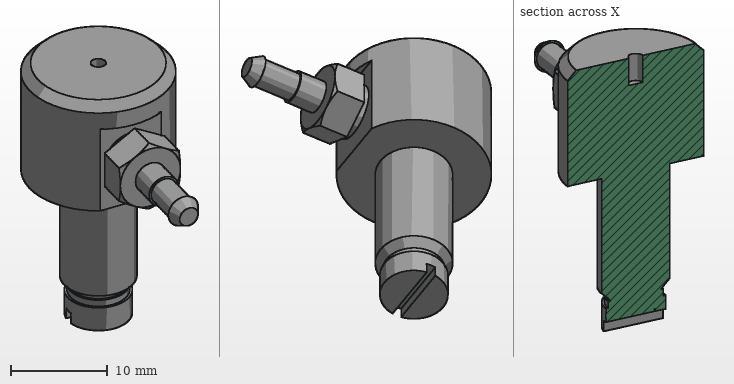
import cadquery as cq
import math

total_height = 30.6
head_diameter = 16.0
head_radius = head_diameter / 2
head_height = 13.0
head_bottom = total_height - head_height
edge_chamfer = 1.0
stem_radius = head_radius / 2
stem_bottom = 3.58
neck_radius = 3.25
tip_radius = 3.52
tip_height = 2.8

slot_width = 1.0
slot_depth = 1.22
vent_diameter = 1.6
vent_depth = 3.05
flat_x = 7.15
shoulder_depth = 3.0
flat_height = total_height - shoulder_depth

fitting_depth = 7.5
fitting_z = total_height - fitting_depth
collar_radius = 3.0
nut_start = head_radius
nut_end = 11.5
nut_across_flats = 7.0
nut_chamfer_angle = math.radians(30)
spigot_radius = 1.75
spigot_end = 14.5
tube_radius = 1.5
barb_start = 18.75
barb_radius = spigot_radius
barb_end_radius = 1.07
overall_length = 28.0
fitting_end = overall_length - head_radius


def make_body():
    """Head, stem, neck and tip as one revolved profile."""
    profile = [
        (0, 0),
        (tip_radius, 0),
        (tip_radius, tip_height),
        (neck_radius, tip_height),
        (neck_radius, stem_bottom),
        (stem_radius - edge_chamfer, stem_bottom),
        (stem_radius, stem_bottom + edge_chamfer),
        (stem_radius, head_bottom),
        (head_radius, head_bottom),
        (head_radius, total_height - edge_chamfer),
        (head_radius - edge_chamfer, total_height),
        (0, total_height),
    ]
    return cq.Workplane("XZ").polyline(profile).close().revolve(360, (0, 0, 0), (0, 1, 0))


def cut_flat(body):
    """Remove the +X side of the head below the flat's shoulder."""
    waste = cq.Workplane("XY").box(
        head_radius, head_diameter, flat_height - head_bottom, centered=(False, True, False)
    )
    return body.cut(waste.translate((flat_x, 0, head_bottom)))


def cut_slot(body):
    """Screwdriver slot across the tip, along Y."""
    slot = cq.Workplane("XY").box(
        slot_width, head_diameter, slot_depth, centered=(True, True, False)
    )
    return body.cut(slot)


def cut_vent(body):
    """Blind hole in the top face."""
    vent = cq.Workplane("XY", origin=(0, 0, total_height)).circle(vent_diameter / 2).extrude(-vent_depth)
    return body.cut(vent)


def revolve_about_fitting_axis(profile):
    """Revolve (x, radius) points about the fitting axis."""
    return (
        cq.Workplane("XZ", origin=(0, 0, fitting_z))
        .polyline(profile)
        .close()
        .revolve(360, (0, 0, 0), (1, 0, 0))
    )


def make_nut():
    """Hexagon with corners up and down, its outer corners trimmed by a cone."""
    face_radius = nut_across_flats / 2
    corner_radius = face_radius / math.cos(math.pi / 6)
    corners = [
        (corner_radius * math.sin(i * math.pi / 3), corner_radius * math.cos(i * math.pi / 3))
        for i in range(6)
    ]
    hexagon = (
        cq.Workplane("YZ", origin=(nut_start, 0, fitting_z))
        .polyline(corners)
        .close()
        .extrude(nut_end - nut_start)
    )
    nut_length = nut_end - nut_start
    cone_start_radius = face_radius + nut_length / math.tan(nut_chamfer_angle)
    cone = revolve_about_fitting_axis([
        (nut_start, 0),
        (nut_start, cone_start_radius),
        (nut_end, face_radius),
        (nut_end, 0),
    ])
    return hexagon.intersect(cone)


def make_hose_barb():
    """Collar, spigot, tube and tapered barb; the collar is seated inside the head."""
    seat_x = stem_radius
    return revolve_about_fitting_axis([
        (seat_x, 0),
        (seat_x, collar_radius),
        (nut_start, collar_radius),
        (nut_start, spigot_radius),
        (spigot_end, spigot_radius),
        (spigot_end, tube_radius),
        (barb_start, tube_radius),
        (barb_start, barb_radius),
        (fitting_end, barb_end_radius),
        (fitting_end, 0),
    ])


body = cut_vent(cut_slot(cut_flat(make_body())))
result = body.union(make_hose_barb()).union(make_nut())